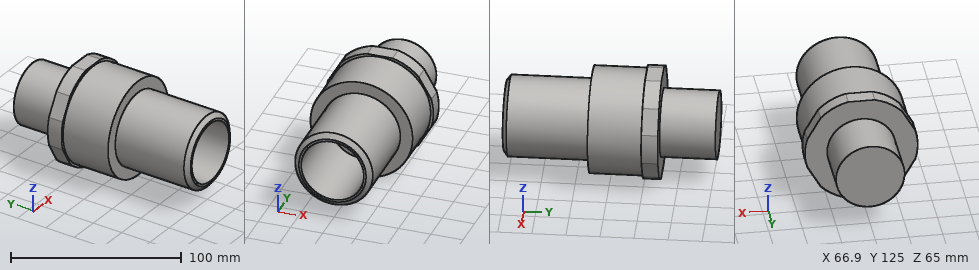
import cadquery as cq
import math

total_length = 125.0
shoulder_position = 50.9
collar_position = 82.5
collar_width = 9.7

front_spigot_diameter = 48.2
front_rim_diameter = 41.7
bore_diameter = 38.9
body_diameter = 63.5
rear_spigot_diameter = 40.6

collar_across_flats = 65.0
collar_corner_diameter = 66.9

front_chamfer_length = 2.5
front_chamfer_depth = (front_spigot_diameter - front_rim_diameter) / 2
bore_depth = shoulder_position
collar_end = collar_position + collar_width


def section_plane(position):
    """Plane across the axis, facing +Y, at a distance from the front end."""
    return cq.Workplane(
        cq.Plane(
            origin=(0, position - total_length / 2, 0),
            xDir=(1, 0, 0),
            normal=(0, 1, 0),
        )
    )


def cylinder(diameter, start, end):
    """Round section of the fitting between two axial stations."""
    return section_plane(start).circle(diameter / 2).extrude(end - start)


def front_spigot():
    """Front spigot with an unequal-leg chamfer around its open end."""
    spigot = cylinder(front_spigot_diameter, 0, shoulder_position)
    return spigot.faces("<Y").edges().chamfer(front_chamfer_length, front_chamfer_depth)


def hex_collar():
    """Hexagon with flats facing +Z and -Z, and rounded corners."""
    across_corners = collar_across_flats / math.cos(math.pi / 6)
    hexagon = section_plane(collar_position).polygon(6, across_corners).extrude(collar_width)
    return hexagon.intersect(cylinder(collar_corner_diameter, collar_position, collar_end))


body = cylinder(body_diameter, shoulder_position, collar_position)
rear_spigot = cylinder(rear_spigot_diameter, collar_end, total_length)
bore = cylinder(bore_diameter, 0, bore_depth)

result = front_spigot().union(body).union(hex_collar()).union(rear_spigot).cut(bore)